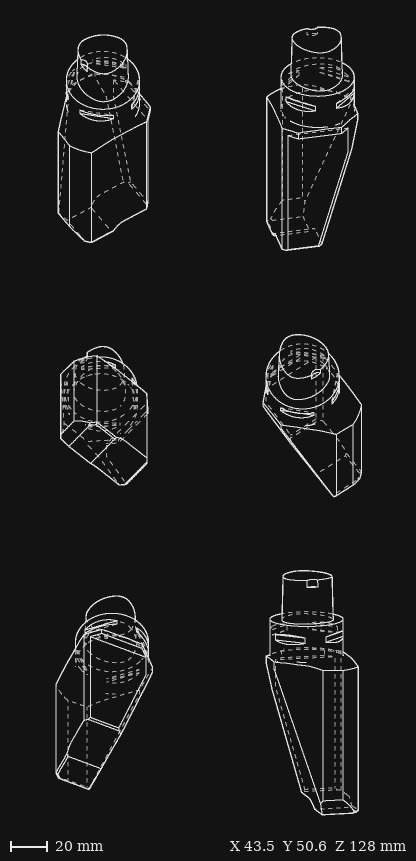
import cadquery as cq
import math


TOTAL_HEIGHT = 128.0

SHANK_HEIGHT = 24.0
SHANK_BASE_WIDTH = 28.0
SHANK_TAPER = 1 / 20
LOBE_CENTER_RADIUS = 5.8
LOBE_ANGLES = (90, 210, 330)

KEY_DIAMETER = 6.9
KEY_DEPTH = 4.0
KEY_CENTER_Y = -14.2

FLANGE_RADIUS = 40.0 / 2
FLANGE_HEIGHT = 20.0
FLANGE_FILLET = 1.2
GROOVE_ANGLES = (45, 135, 225, 315)
GROOVE_CENTER_Z = -8.0
GROOVE_FLOOR_RADIUS = 17.7
GROOVE_FLOOR_HEIGHT = 3.0
GROOVE_MOUTH_HEIGHT = 5.2

FLAT_DISTANCE = 20.5
BODY_RIGHT_X = 23.0
BODY_FRONT_Y = -30.1
BACK_RIGHT_FLAT_DISTANCE = 25.6
BODY_TURNED_RADIUS = 32.5

BODY_TOP_Z = -FLANGE_HEIGHT - FLANGE_FILLET
BODY_BOTTOM_Z = SHANK_HEIGHT - TOTAL_HEIGHT
COLLAR_BOTTOM_Z = -25.1

TOP_CONE_RADIUS = 24.5
TOP_CONE_ANGLE = 15.0

LEAN_ANGLE = 16.0
BACK_Y = 15.9
REAR_BEVEL = 3.0

NOSE_BEVEL_WIDTH = 5.1
NOSE_BEVEL_ANGLE = 30.0
STEP_Z = -99.0
STEP_ARC_START_Y = -2.8
STEP_ARC_END_Y = -9.2
STEP_ARC_RADIUS = 10.0
EDGE_CHAMFER = 1.0

REACH = TOTAL_HEIGHT


def polar(radius, degrees, center=(0, 0)):
    angle = math.radians(degrees)
    return center[0] + radius * math.cos(angle), center[1] + radius * math.sin(angle)


def draw_shank_section(plane, width):
    """Rounded triangle of constant width; each arc spans 60 degrees about a lobe center."""
    lobe_radius = width / 2 - LOBE_CENTER_RADIUS * math.cos(math.radians(30))
    side_radius = width - lobe_radius
    start_center = polar(LOBE_CENTER_RADIUS, LOBE_ANGLES[0])
    section = plane.moveTo(*polar(lobe_radius, LOBE_ANGLES[0] - 30, start_center))
    for lobe_angle in LOBE_ANGLES:
        center = polar(LOBE_CENTER_RADIUS, lobe_angle)
        opposite = polar(LOBE_CENTER_RADIUS, lobe_angle - 120)
        section = section.threePointArc(
            polar(lobe_radius, lobe_angle, center), polar(lobe_radius, lobe_angle + 30, center)
        )
        section = section.threePointArc(
            polar(side_radius, lobe_angle + 60, opposite), polar(side_radius, lobe_angle + 90, opposite)
        )
    return section.close()


def make_shank():
    top_width = SHANK_BASE_WIDTH - SHANK_HEIGHT * SHANK_TAPER
    base = draw_shank_section(cq.Workplane("XY"), SHANK_BASE_WIDTH)
    shank = draw_shank_section(base.workplane(offset=SHANK_HEIGHT), top_width).loft(ruled=True)
    key_pocket = (
        cq.Workplane("XY", origin=(0, KEY_CENTER_Y, SHANK_HEIGHT - KEY_DEPTH))
        .circle(KEY_DIAMETER / 2)
        .extrude(KEY_DEPTH)
    )
    return shank.cut(key_pocket)


def make_flange():
    flange = cq.Workplane("XY").circle(FLANGE_RADIUS).extrude(-FLANGE_HEIGHT)
    for angle in GROOVE_ANGLES:
        flange = flange.cut(make_gripper_groove(angle))
    return flange


def make_gripper_groove(angle):
    depth = FLANGE_RADIUS - GROOVE_FLOOR_RADIUS
    return (
        cq.Workplane("XZ")
        .center(GROOVE_FLOOR_RADIUS, GROOVE_CENTER_Z)
        .moveTo(0, -GROOVE_FLOOR_HEIGHT / 2)
        .lineTo(depth, -GROOVE_MOUTH_HEIGHT / 2)
        .lineTo(depth, GROOVE_MOUTH_HEIGHT / 2)
        .lineTo(0, GROOVE_FLOOR_HEIGHT / 2)
        .close()
        .extrude(FLANGE_RADIUS, both=True)
        .rotate((0, 0, 0), (0, 0, 1), angle)
    )


def make_turned_blank():
    """Round blank: filleted neck under the flange, conical top relief, chamfered bottom edge."""
    neck_radius = FLANGE_RADIUS + FLANGE_FILLET
    cone_drop = (BODY_TURNED_RADIUS - TOP_CONE_RADIUS) * math.tan(math.radians(TOP_CONE_ANGLE))
    return (
        cq.Workplane("XZ")
        .moveTo(0, -FLANGE_HEIGHT)
        .lineTo(FLANGE_RADIUS, -FLANGE_HEIGHT)
        .threePointArc(polar(FLANGE_FILLET, 225, (neck_radius, -FLANGE_HEIGHT)), (neck_radius, BODY_TOP_Z))
        .lineTo(TOP_CONE_RADIUS, BODY_TOP_Z)
        .lineTo(BODY_TURNED_RADIUS, BODY_TOP_Z - cone_drop)
        .lineTo(BODY_TURNED_RADIUS, BODY_BOTTOM_Z + EDGE_CHAMFER)
        .lineTo(BODY_TURNED_RADIUS - EDGE_CHAMFER, BODY_BOTTOM_Z)
        .lineTo(0, BODY_BOTTOM_Z)
        .close()
        .revolve(360, (0, 0, 0), (0, 1, 0))
    )


def make_outline_prism():
    """Prism of the seven flats around the body."""
    diagonal = FLAT_DISTANCE * math.sqrt(2)
    back_right_diagonal = BACK_RIGHT_FLAT_DISTANCE * math.sqrt(2)
    outline = [
        (-FLAT_DISTANCE, FLAT_DISTANCE - diagonal),
        (-diagonal - BODY_FRONT_Y, BODY_FRONT_Y),
        (BODY_RIGHT_X, BODY_FRONT_Y),
        (BODY_RIGHT_X, back_right_diagonal - BODY_RIGHT_X),
        (back_right_diagonal - FLAT_DISTANCE, FLAT_DISTANCE),
        (FLAT_DISTANCE - diagonal, FLAT_DISTANCE),
        (-FLAT_DISTANCE, diagonal - FLAT_DISTANCE),
    ]
    prism = cq.Workplane("XY", origin=(0, 0, BODY_BOTTOM_Z)).polyline(outline).close()
    prism = prism.extrude(-FLANGE_HEIGHT - BODY_BOTTOM_Z)
    return prism.faces(">X").edges("<Z").chamfer(EDGE_CHAMFER)


def make_side_profile():
    """Profile across X: collar, back face, stepped bottom and beveled nose."""
    nose_bevel_height = NOSE_BEVEL_WIDTH / math.tan(math.radians(NOSE_BEVEL_ANGLE))
    return (
        cq.Workplane("YZ", origin=(-FLAT_DISTANCE, 0, 0))
        .moveTo(BODY_FRONT_Y, -FLANGE_HEIGHT)
        .lineTo(FLAT_DISTANCE, -FLANGE_HEIGHT)
        .lineTo(FLAT_DISTANCE, COLLAR_BOTTOM_Z)
        .lineTo(BACK_Y, COLLAR_BOTTOM_Z)
        .lineTo(BACK_Y, STEP_Z + EDGE_CHAMFER)
        .lineTo(BACK_Y - EDGE_CHAMFER, STEP_Z)
        .lineTo(STEP_ARC_START_Y, STEP_Z)
        .radiusArc((STEP_ARC_END_Y, BODY_BOTTOM_Z), -STEP_ARC_RADIUS)
        .lineTo(BODY_FRONT_Y + NOSE_BEVEL_WIDTH, BODY_BOTTOM_Z)
        .lineTo(BODY_FRONT_Y, BODY_BOTTOM_Z + nose_bevel_height)
        .close()
        .extrude(FLAT_DISTANCE + BODY_RIGHT_X)
    )


def make_lean_cut():
    """Waste left of the leaning side; its rear corner is beveled at 45 degrees in plan."""
    bevel_start_y = BACK_Y - REAR_BEVEL
    height = COLLAR_BOTTOM_Z - BODY_BOTTOM_Z
    shift = height * math.tan(math.radians(LEAN_ANGLE))

    def draw_waste(plane, side_x):
        return plane.polyline(
            [
                (side_x, -REACH),
                (side_x, bevel_start_y),
                (side_x + REACH, bevel_start_y + REACH),
                (side_x - REACH, bevel_start_y + REACH),
                (side_x - REACH, -REACH),
            ]
        ).close()

    upper = draw_waste(cq.Workplane("XY", origin=(0, 0, COLLAR_BOTTOM_Z)), -FLAT_DISTANCE)
    return draw_waste(upper.workplane(offset=-height), shift - FLAT_DISTANCE).loft(ruled=True)


def make_body():
    body = make_turned_blank().intersect(make_outline_prism()).intersect(make_side_profile())
    return body.cut(make_lean_cut())


result = make_body().union(make_flange()).union(make_shank())